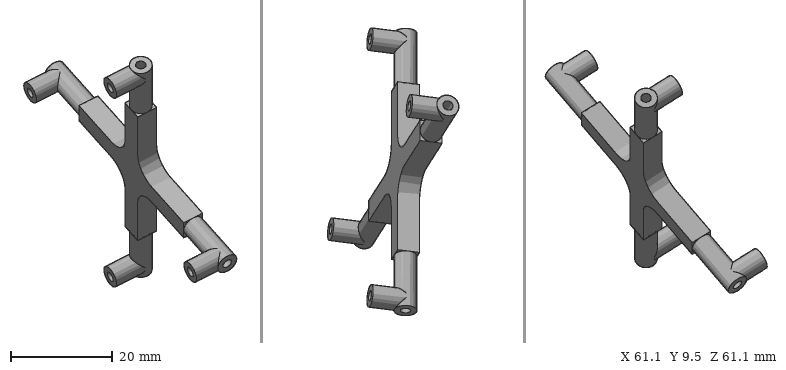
import cadquery as cq

span = 61.1
depth = 9.5
arm_width = 4.5
cross_length = 37.0
corner_radius = 4.95
bore_diameter = 2.0

half_arm = arm_width / 2
rod_radius = arm_width / 2
bore_radius = bore_diameter / 2
tip = span / 2
leg_offset = tip - rod_radius
leg_length = depth - half_arm
bore_depth = depth - arm_width
rod_start = cross_length / 2
rod_length = tip - rod_start


def make_cross():
    """Square-section plus shape with rounded inside corners."""
    bar_x = cq.Workplane("XY").box(cross_length, arm_width, arm_width)
    bar_z = cq.Workplane("XY").box(arm_width, arm_width, cross_length)
    corner_edges = cq.selectors.BoxSelector(
        (-arm_width, -arm_width, -arm_width), (arm_width, arm_width, arm_width)
    )
    return bar_x.union(bar_z).edges("|Y").edges(corner_edges).fillet(corner_radius)


def make_elbow():
    """Round rod along +X, meeting a leg towards -Y at its outer end."""
    rod = cq.Workplane("YZ", origin=(rod_start, 0, 0)).circle(rod_radius).extrude(rod_length)
    leg = cq.Workplane("XZ", origin=(leg_offset, 0, 0)).circle(rod_radius).extrude(leg_length)
    return rod.union(leg)


def make_bores():
    """Blind bores into the rod end and into the leg tip of the +X arm."""
    rod_bore = cq.Workplane("YZ", origin=(tip, 0, 0)).circle(bore_radius).extrude(-bore_depth)
    leg_tip = (leg_offset, -leg_length, 0)
    leg_bore = cq.Workplane("XZ", origin=leg_tip).circle(bore_radius).extrude(-bore_depth)
    return rod_bore.union(leg_bore)


def on_each_arm(shape, body, combine):
    """Apply the shape to the body once per arm, a quarter turn apart about Y."""
    for angle in (0, 90, 180, 270):
        body = combine(body, shape.rotate((0, 0, 0), (0, 1, 0), angle))
    return body


body = on_each_arm(make_elbow(), make_cross(), cq.Workplane.union)
result = on_each_arm(make_bores(), body, cq.Workplane.cut)